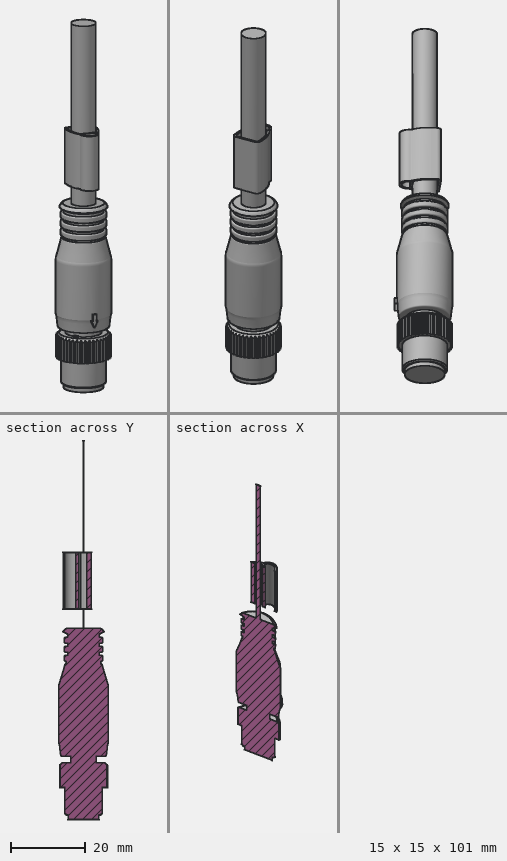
import cadquery as cq
import math

total_height = 101.0
clip_angle = -45.0

lip_radius = 5.4
lip_top = 1.2
sleeve_radius = 6.1
sleeve_chamfer = 0.4
nut_bottom = 8.6
nut_top = 15.3
nut_radius = 7.4
nut_chamfer = 0.8
tooth_count = 40
groove_depth = 0.4
groove_width = 0.7
neck_radius = 4.8
tab_half_width = 0.6
tab_radius = 5.2
tab_height = 0.3

body_radius = 7.5
body_bottom = 16.9
body_bottom_rounding = 0.4
body_bottom_radius = 7.0
body_blend_radius = 7.3
lower_cone_top = 19.7
cylinder_bottom = 20.6
cylinder_top = 35.6
shoulder_bottom = 36.5
shoulder_top = 41.6
shoulder_top_radius = 6.0
shoulder_rounding = 0.4

relief_radius = 5.5
seat_radius = 5.8
rib_radius = 6.2
rib_height = 1.7
rib_rounding = 0.4
rib_count = 3
rib_pitch = 2.4
lowest_rib_middle = 43.0
seat_top = lowest_rib_middle
flange_radius = 6.5
flange_bottom = 49.5
flange_edge = 50.1
flange_top = 51.1
flange_rim_radius = 6.2
flange_rim_top = 50.6
flange_face_radius = 5.6

cable_radius = 3.3
clip_bottom = 56.2
clip_length = 15.2
clip_wall = 0.6
clip_half_width = 3.5
clip_rounding = 0.6
clip_leg_end = -1.3
clip_leg_radius = 8.5
label_inner_radius = 1.9
label_outer_radius = label_inner_radius + clip_wall
label_center = 4.2
junction_rounding = 0.4
label_flat = 3.8

arrow_face = 8.1
arrow_root = 6.1
arrow_top = 22.2
arrow_head_top = 20.4
arrow_tip = 18.6
arrow_shaft_half = 0.5
arrow_head_half = 0.9


def cylinder(radius, bottom, top):
    return cq.Workplane("XY").workplane(offset=bottom).circle(radius).extrude(top - bottom)


def make_plug():
    lip = cylinder(lip_radius, 0, lip_top)
    sleeve = cylinder(sleeve_radius, lip_top, nut_bottom).faces("<Z").chamfer(sleeve_chamfer)
    neck = cylinder(neck_radius, nut_bottom, body_bottom)
    tab_top = nut_top + tab_height
    tab = (
        cylinder(tab_radius, nut_bottom, tab_top)
        .intersect(
            cq.Workplane("XY")
            .box(2 * tab_half_width, tab_radius, tab_top, centered=(True, False, False))
            .translate((0, -tab_radius, 0))
        )
    )
    return lip.union(sleeve).union(neck).union(tab)


def make_nut():
    """Ring with V-shaped grip grooves along its outside."""
    nut = cylinder(nut_radius, nut_bottom, nut_top).faces(">Z").chamfer(nut_chamfer)
    for i in range(tooth_count):
        groove = (
            cq.Workplane("XY")
            .workplane(offset=nut_bottom)
            .polyline([
                (nut_radius - groove_depth, 0),
                (nut_radius + groove_depth, groove_width),
                (nut_radius + groove_depth, -groove_width),
            ])
            .close()
            .extrude(nut_top - nut_bottom)
            .rotate((0, 0, 0), (0, 0, 1), i * 360 / tooth_count)
        )
        nut = nut.cut(groove)
    return nut


def make_body():
    """Barrel with a short cone below and a long shoulder above, each joined by a small arc."""
    barrel = (
        cq.Workplane("XZ")
        .moveTo(0, body_bottom)
        .lineTo(body_bottom_radius, body_bottom)
        .lineTo(body_blend_radius, lower_cone_top)
        .tangentArcPoint((body_radius, cylinder_bottom), relative=False)
        .lineTo(body_radius, cylinder_top)
        .tangentArcPoint((body_blend_radius, shoulder_bottom), relative=False)
        .lineTo(shoulder_top_radius, shoulder_top)
        .lineTo(0, shoulder_top)
        .close()
        .revolve(360, (0, 0), (0, 1))
    )
    barrel = barrel.faces("<Z").edges().fillet(body_bottom_rounding)
    return barrel.faces(">Z").edges().fillet(shoulder_rounding)


def make_strain_relief():
    relief = cylinder(relief_radius, shoulder_top, flange_bottom)
    relief = relief.union(cylinder(seat_radius, shoulder_top, seat_top))
    for i in range(rib_count):
        middle = lowest_rib_middle + i * rib_pitch
        rib = cylinder(rib_radius, middle - rib_height / 2, middle + rib_height / 2)
        relief = relief.union(rib.edges().fillet(rib_rounding))
    flange = (
        cq.Workplane("XZ")
        .moveTo(0, flange_bottom)
        .lineTo(relief_radius, flange_bottom)
        .lineTo(flange_radius, flange_edge)
        .lineTo(flange_rim_radius, flange_rim_top)
        .tangentArcPoint((flange_face_radius, flange_top), relative=False)
        .lineTo(0, flange_top)
        .close()
        .revolve(360, (0, 0), (0, 1))
    )
    return relief.union(flange)


def clip_loop(offset, end):
    """Column bounded by the clip's inside outline grown by offset and closed at X = end."""
    half_width = clip_half_width + offset
    leg_radius = clip_leg_radius + offset
    arc_center = leg_radius - half_width
    end_half = math.sqrt(leg_radius**2 - (end - clip_leg_end) ** 2) - arc_center
    outline = (
        cq.Workplane("XY")
        .moveTo(end, -end_half)
        .lineTo(end, end_half)
        .radiusArc((clip_leg_end, half_width), -leg_radius)
        .lineTo(-half_width, half_width)
        .lineTo(-half_width, -half_width)
        .lineTo(clip_leg_end, -half_width)
        .radiusArc((end, -end_half), -leg_radius)
        .close()
        .extrude(clip_length)
    )
    return outline.edges("|Z and <X").fillet(clip_rounding + offset)


def label_loop(radius, flat):
    """Column with a flat face at X = flat, toward the cable, and a round outer end."""
    return (
        cq.Workplane("XY")
        .moveTo(flat, -radius)
        .lineTo(label_center, -radius)
        .threePointArc((label_center + radius, 0), (label_center, radius))
        .lineTo(flat, radius)
        .close()
        .extrude(clip_length)
    )


def make_clip():
    """Band around the cable, joined to it by the wall it shares with the label sleeve."""
    shared_wall = label_flat - clip_wall
    band = clip_loop(clip_wall, label_center).cut(clip_loop(0, shared_wall))
    sleeve = label_loop(label_outer_radius, shared_wall)
    pocket = label_loop(label_inner_radius, label_flat)
    clip = band.union(sleeve).cut(pocket)

    leg_radius = clip_leg_radius + clip_wall
    leg_arc_center = leg_radius - clip_half_width - clip_wall
    junction = clip_leg_end + math.sqrt(leg_radius**2 - (leg_arc_center + label_outer_radius) ** 2)
    for side in (-label_outer_radius, label_outer_radius):
        corner = cq.selectors.NearestToPointSelector((junction, side, clip_length / 2))
        clip = clip.edges(corner).fillet(junction_rounding)
    return clip.rotate((0, 0, 0), (0, 0, 1), clip_angle).translate((0, 0, clip_bottom))


def make_arrow():
    """Flat arrow pad pointing down toward the nut."""
    arrow = (
        cq.Workplane("YZ")
        .workplane(offset=arrow_root)
        .moveTo(-arrow_shaft_half, arrow_top)
        .lineTo(arrow_shaft_half, arrow_top)
        .lineTo(arrow_shaft_half, arrow_head_top)
        .lineTo(arrow_head_half, arrow_head_top)
        .lineTo(0, arrow_tip)
        .lineTo(-arrow_head_half, arrow_head_top)
        .lineTo(-arrow_shaft_half, arrow_head_top)
        .close()
        .extrude(arrow_face - arrow_root)
    )
    return arrow.rotate((0, 0, 0), (0, 0, 1), clip_angle)


cable = cylinder(cable_radius, flange_bottom, total_height)
result = (
    make_plug()
    .union(make_nut())
    .union(make_body())
    .union(make_strain_relief())
    .union(cable)
    .union(make_clip())
    .union(make_arrow())
)